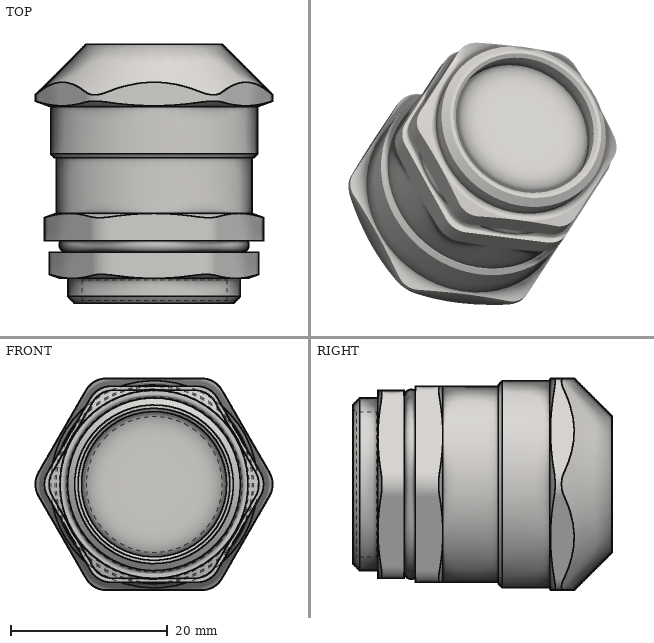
import cadquery as cq
import math


length = 33.05
nut_start = 3.2
nut_end = 6.55
collar_start = 7.95
collar_end = 11.47
sleeve_start = 18.55
cap_start = 25.1

thread_radius = 22.0 / 2
thread_chamfer = 0.9
body_radius = 25.0 / 2
sleeve_radius = 26.4 / 2
sleeve_chamfer = 0.53
ring_radius = 12.1
ring_section_radius = 0.93
cap_end_radius = 8.65

nut_flats = 23.95
collar_flats = 25.0
cap_flats = 27.0
corner_radius = 3.0
hex_bevel_slope = math.tan(math.radians(20))
cap_cone_slope = math.tan(math.radians(45))

bore_radius = 18.5 / 2
bore_mouth_radius = 9.7
bore_depth = 3.0


def revolve_about_y(profile):
    """Turn a closed (radius, Y) profile about the Y axis."""
    return profile.close().revolve(360, (0, 0, 0), (0, 1, 0))


def rounded_hexagon(flats, start, end):
    """Hexagonal prism with rounded corners, two of them on the X axis."""
    across_corners = flats / math.cos(math.pi / 6)
    prism = cq.Workplane("XZ", origin=(0, start, 0)).polygon(6, across_corners).extrude(start - end)
    return prism.edges("|Y").fillet(corner_radius)


def bevel(hexagon, face_y, face_radius, far_y, slope):
    """Keep what lies inside a cone widening from face_radius at face_y towards far_y."""
    far_radius = face_radius + abs(far_y - face_y) / slope
    cone = revolve_about_y(
        cq.Workplane("XY")
        .moveTo(0, face_y)
        .lineTo(face_radius, face_y)
        .lineTo(far_radius, far_y)
        .lineTo(0, far_y)
    )
    return hexagon.intersect(cone)


def turned_core():
    """Thread, sealing ring, body and sleeve as one turned piece.

    The ring is round in section, touching the nut and cut off by the collar.
    """
    ring_center_radius = ring_radius - ring_section_radius
    ring_center_y = nut_end + ring_section_radius
    ring_end_offset = collar_start - ring_center_y
    ring_end_radius = ring_center_radius + math.sqrt(ring_section_radius**2 - ring_end_offset**2)
    return revolve_about_y(
        cq.Workplane("XY")
        .lineTo(thread_radius - thread_chamfer, 0)
        .lineTo(thread_radius, thread_chamfer)
        .lineTo(thread_radius, nut_end)
        .lineTo(ring_center_radius, nut_end)
        .threePointArc((ring_radius, ring_center_y), (ring_end_radius, collar_start))
        .lineTo(thread_radius, collar_start)
        .lineTo(thread_radius, collar_end)
        .lineTo(body_radius, collar_end)
        .lineTo(body_radius, sleeve_start)
        .lineTo(sleeve_radius - sleeve_chamfer, sleeve_start)
        .lineTo(sleeve_radius, sleeve_start + sleeve_chamfer)
        .lineTo(sleeve_radius, cap_start)
        .lineTo(0, cap_start)
    )


def lock_nut():
    blank = rounded_hexagon(nut_flats, nut_start, nut_end)
    return bevel(blank, nut_start, nut_flats / 2, nut_end, hex_bevel_slope)


def collar():
    blank = rounded_hexagon(collar_flats, collar_start, collar_end)
    return bevel(blank, collar_end, collar_flats / 2, collar_start, hex_bevel_slope)


def cap():
    blank = rounded_hexagon(cap_flats, cap_start, length)
    beveled = bevel(blank, cap_start, sleeve_radius, length, hex_bevel_slope)
    return bevel(beveled, length, cap_end_radius, cap_start, cap_cone_slope)


def bore():
    """Blind bore with a chamfered mouth."""
    return revolve_about_y(
        cq.Workplane("XY")
        .lineTo(bore_mouth_radius, 0)
        .lineTo(bore_radius, bore_mouth_radius - bore_radius)
        .lineTo(bore_radius, bore_depth)
        .lineTo(0, bore_depth)
    )


result = turned_core().union(lock_nut()).union(collar()).union(cap()).cut(bore())